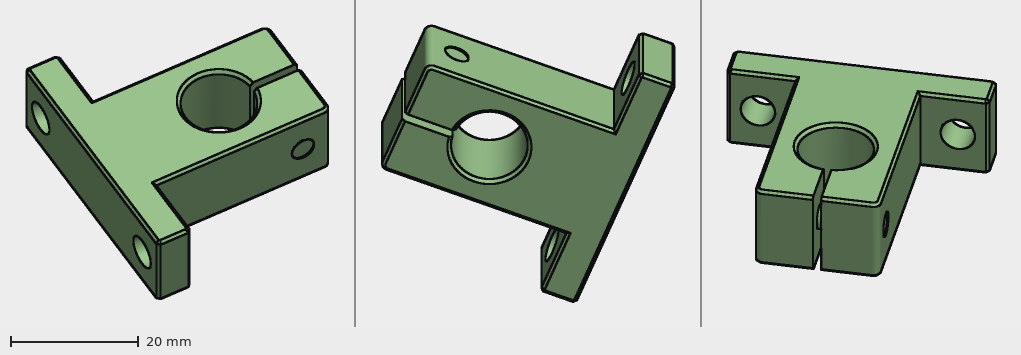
import cadquery as cq

base_length = 42.0
base_thickness = 6.0
stem_width = 20.0
depth = 37.5
height = 14.0

edge_chamfer = 0.5
stem_corner_radius = 1.18

bore_diameter = 12.0
bore_chamfer = 0.6
bore_y = 23.0
slot_width = 1.3

mount_hole_diameter = 5.5
mount_hole_spacing = 32.0

pin_diameter = 4.0
pin_y = 32.5
pin_recess = 0.2

mid_z = 0.0


def make_block():
    """T-shaped block with broken corners and chamfered top and bottom rims."""
    stem_bottom = base_thickness / 2
    base = (
        cq.Workplane("XY")
        .box(base_length, base_thickness, height, centered=(True, False, True))
        .edges("|Z")
        .chamfer(edge_chamfer)
    )
    stem = (
        cq.Workplane("XY")
        .box(stem_width, depth - stem_bottom, height, centered=(True, False, True))
        .translate((0, stem_bottom, mid_z))
        .edges("|Z and >Y")
        .fillet(stem_corner_radius)
    )
    return base.union(stem).faces("<Z or >Z").edges().chamfer(edge_chamfer)


def cut_bore(body):
    """Vertical shaft bore, chamfered at both ends."""
    radius = bore_diameter / 2
    rim_radius = radius + bore_chamfer
    top = mid_z + height / 2
    bottom = mid_z - height / 2
    half_section = [
        (0, bottom),
        (rim_radius, bottom),
        (radius, bottom + bore_chamfer),
        (radius, top - bore_chamfer),
        (rim_radius, top),
        (0, top),
    ]
    bore = cq.Workplane("XZ").polyline(half_section).close().revolve(360, (0, 0), (0, 1))
    return body.cut(bore.translate((0, bore_y, 0)))


def cut_slot(body):
    """Clamping slot from the bore out through the end of the stem."""
    slot_length = depth - bore_y
    slot = (
        cq.Workplane("XY")
        .box(slot_width, slot_length, height, centered=(True, False, True))
        .translate((0, bore_y, mid_z))
    )
    return body.cut(slot)


def cut_mount_holes(body):
    """Bolt holes running along Y through both wings of the base."""
    for side in (-1, 1):
        hole = (
            cq.Workplane("XZ")
            .center(side * mount_hole_spacing / 2, mid_z)
            .circle(mount_hole_diameter / 2)
            .extrude(-base_thickness)
        )
        body = body.cut(hole)
    return body


def make_cross_cylinder(length):
    """Cylinder of the pin's diameter along X, centred on the stem."""
    return (
        cq.Workplane("YZ", origin=(-length / 2, 0, 0))
        .center(pin_y, mid_z)
        .circle(pin_diameter / 2)
        .extrude(length)
    )


def cut_pin_hole(body):
    """Pin hole through both sides of the stem."""
    return body.cut(make_cross_cylinder(stem_width))


def make_pin():
    """Clamping pin, set slightly below both sides of the stem."""
    return make_cross_cylinder(stem_width - 2 * pin_recess)


housing = cut_pin_hole(cut_mount_holes(cut_slot(cut_bore(make_block()))))
pin = make_pin()

result = cq.Compound.makeCompound([housing.val(), pin.val()])